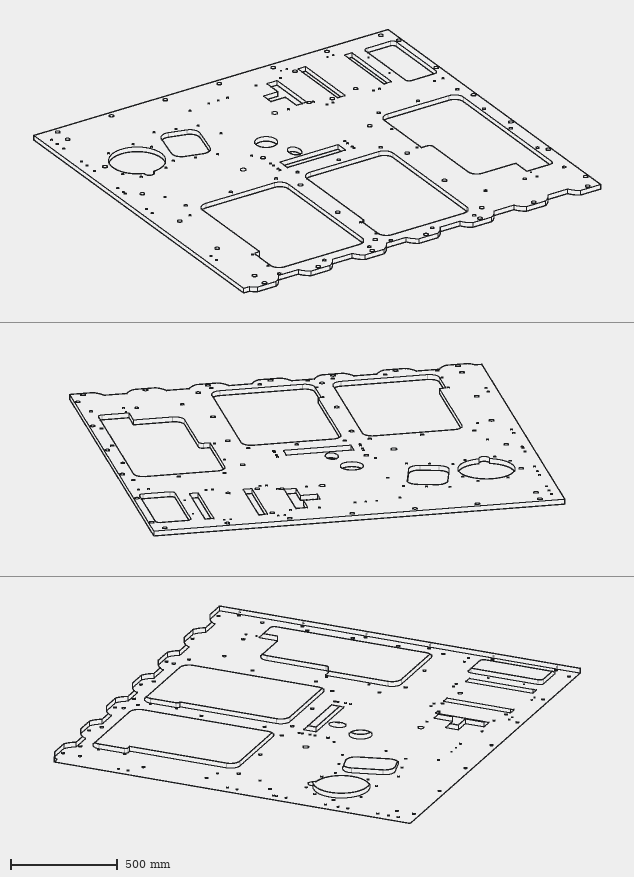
import cadquery as cq
import math

SHEET_WIDTH = 1849.0
SHEET_HEIGHT = 1973.0
THICKNESS = 25.0

BOLT_DIAMETER = 14.0
HEAD_DIAMETER = 22.0
HEAD_DEPTH = 12.0
EDGE_BOLT_PITCH = 300.0
EDGE_BOLT_COUNT = 7
EDGE_BOLT_FIRST_Y = 113.0
EDGE_BOLT_LEFT_X = 31.0
EDGE_BOLT_RIGHT_X = 1829.0
RAIL_BOLT_PITCH = 325.0
RAIL_BOLT_COUNT = 6
RAIL_BOLT_FIRST_X = 118.0
FULL_RAILS_Y = (EDGE_BOLT_FIRST_Y, 1379.0, 1957.0)
SHORT_RAIL_Y = 785.0
SHORT_RAIL_SKIPPED = 2

NOTCH_DEPTH = 45.0
TAB_RADIUS = 106.0
TAB_CENTER_X = 1757.0
FOOT_RELIEF_WIDTH = 24.0

WINDOW_RADIUS = 48.0
STEP_RADIUS = 20.0
SIDE_STEP_RADIUS = 12.0

TOP_WINDOW_LEFT = 714.0
TOP_WINDOW_RIGHT = 1550.0
TOP_WINDOW_INNER_RIGHT = 1454.0
TOP_WINDOW_STEP_X = 1083.0
TOP_WINDOW_TOP = 1904.0
TOP_WINDOW_LEDGE_Y = 1753.0
TOP_WINDOW_STEP_Y = 1518.0
TOP_WINDOW_BOTTOM = 1466.0

SIDE_WINDOW_LEFT = 1010.0
SIDE_WINDOW_RIGHT = 1745.0
SIDE_WINDOW_STEP_X = 1554.0
SIDE_WINDOW_HEIGHT = 478.0
SIDE_WINDOWS = ((1323.0, 16.0), (741.0, 32.0))

FRAME_HOLE_DIAMETER = 16.0
TOP_FRAME_X = (680.0, 912.0, 1145.0, 1377.0, 1609.0)
TOP_FRAME_Y = (1485.0, 1704.0, 1923.0)
SIDE_FRAME_X = (977.0, 1789.0)
SIDE_FRAME_Y = (1306.0, 1073.0, 843.0, 723.0, 472.0, 221.0)

HATCH_LEFT = 106.0
HATCH_RIGHT = 491.0
HATCH_BOTTOM = 1768.0
HATCH_TOP = 1938.0
HATCH_RADIUS = 20.0

SLOT_RIGHT = 450.0
SLOT_HEIGHT = 42.0
SLOT_CENTERS_Y = (1683.0, 1425.0)

TEE_LEFT = 152.0
TEE_RIGHT = 409.0
TEE_TOP = 1258.0
TEE_SHOULDER_Y = 1201.0
TEE_STEM_WIDTH = 65.0
TEE_BOTTOM = 1120.0

TALL_SLOT_LEFT = 848.0
TALL_SLOT_RIGHT = 912.0
TALL_SLOT_BOTTOM = 828.0
TALL_SLOT_TOP = 1152.0

TILT_CENTER = (450.0, 558.0)
TILT_ANGLE = -15.0
TILT_WIDTH = 250.0
TILT_HEIGHT = 190.0
TILT_RADIUS = 50.0
TILT_HOLE_SPACING_X = 300.0
TILT_HOLE_PITCH_Y = 109.0

PORT_CENTER = (473.0, 273.0)
PORT_DIAMETER = 268.0
RELIEF_CENTER = (608.0, 254.0)
RELIEF_DIAMETER = 50.0
PORT_HOLE_RADIUS = 153.0
PORT_HOLE_ANGLES = (29.0, 121.0, 209.0, 301.0)
PORT_OUTER_HOLE_RADIUS = 165.0
PORT_OUTER_HOLE_ANGLES = (154.0, 334.0)

ROUND_CENTER = (644.0, 882.0)
ROUND_DIAMETER = 108.0
OVAL_CENTER = (791.0, 946.0)
OVAL_LENGTH = 84.0
OVAL_HEIGHT = 60.0

CABLE_DIAMETER = 28.0
CABLE_POINTS = ((420.0, 1073.0), (819.0, 642.0))
SMALL_CABLE_DIAMETER = 20.0
SMALL_CABLE_POINTS = ((418.0, 1525.0), (418.0, 1266.0))

SCREW_DIAMETER = 10.0
PILOT_DIAMETER = 6.0
FOOT_SCREW_X = (
    82.0, 131.0, 187.0, 341.0, 390.0, 455.0, 657.0,
    706.0, 722.0, 908.0, 957.0, 1467.0, 1516.0,
)
FOOT_SCREW_Y = 47.0
BRACKET_SCREW_Y = (1618.0, 1586.0, 1359.0, 1327.0)
SCREW_GROUPS = (
    ((552.0,), (1926.0, 1877.0)),
    ((479.0,), BRACKET_SCREW_Y),
    ((139.0, 422.0), (1286.0, 1148.0)),
    ((852.0, 1070.0), (1448.0, 185.0)),
    ((835.0, 860.0, 900.0, 916.0), (1197.0, 784.0)),
    ((187.0, 455.0, 722.0), (751.0,)),
    ((1560.0, 1694.0), (820.0, 219.0)),
    (FOOT_SCREW_X, (FOOT_SCREW_Y,)),
    ((1621.0,), (1764.0,)),
    ((171.0,), (970.0,)),
)
PILOT_GROUPS = (
    ((187.0, 370.0), (1744.0,)),
    ((78.0,), BRACKET_SCREW_Y),
    ((1568.0,), (1764.0,)),
    ((171.0,), (918.0, 865.0)),
)

CORNER_SEARCH_REACH = 1.0


def grid(xs, ys):
    return [(x, y) for x in xs for y in ys]


def steps(first, pitch, count):
    return [first + pitch * index for index in range(count)]


def round_holes(points, diameter):
    return cq.Workplane("XY").pushPoints(points).circle(diameter / 2).extrude(THICKNESS)


def box_between(left, right, bottom, top):
    block = cq.Workplane("XY").box(right - left, top - bottom, THICKNESS, centered=False)
    return block.translate((left, bottom, 0))


def fillet_corners(body, points, radius):
    """Round the upright edges of a cutter that stand at the given points."""
    reach = CORNER_SEARCH_REACH
    for x, y in points:
        low = (x - reach, y - reach, -reach)
        high = (x + reach, y + reach, THICKNESS + reach)
        body = body.edges(cq.selectors.BoxSelector(low, high)).fillet(radius)
    return body


def tab_disc(center_y):
    return cq.Workplane("XY").center(TAB_CENTER_X, center_y).circle(TAB_RADIUS).extrude(THICKNESS)


def edge_notch(lower_y):
    """Notch between the tabs at two neighbouring edge bolts, flanked by their round shoulders."""
    upper_y = lower_y + EDGE_BOLT_PITCH
    notch = box_between(SHEET_WIDTH - NOTCH_DEPTH, SHEET_WIDTH, lower_y, upper_y)
    return notch.cut(tab_disc(lower_y)).cut(tab_disc(upper_y))


def foot_relief():
    """Shallow corner cut below the lowest tab."""
    relief = box_between(SHEET_WIDTH - FOOT_RELIEF_WIDTH, SHEET_WIDTH, 0, EDGE_BOLT_FIRST_Y)
    return relief.cut(tab_disc(EDGE_BOLT_FIRST_Y))


def top_window():
    corners = [
        (TOP_WINDOW_LEFT, TOP_WINDOW_TOP),
        (TOP_WINDOW_RIGHT, TOP_WINDOW_TOP),
        (TOP_WINDOW_RIGHT, TOP_WINDOW_LEDGE_Y),
        (TOP_WINDOW_INNER_RIGHT, TOP_WINDOW_LEDGE_Y),
        (TOP_WINDOW_INNER_RIGHT, TOP_WINDOW_STEP_Y),
        (TOP_WINDOW_STEP_X, TOP_WINDOW_STEP_Y),
        (TOP_WINDOW_STEP_X, TOP_WINDOW_BOTTOM),
        (TOP_WINDOW_LEFT, TOP_WINDOW_BOTTOM),
    ]
    top_left, top_right, _, _, inner_right, step, _, bottom_left = corners
    window = cq.Workplane("XY").polyline(corners).close().extrude(THICKNESS)
    window = fillet_corners(window, (top_left, bottom_left, inner_right), WINDOW_RADIUS)
    return fillet_corners(window, (top_right, step), STEP_RADIUS)


def side_window(top, step_depth):
    bottom = top - SIDE_WINDOW_HEIGHT
    corners = [
        (SIDE_WINDOW_LEFT, top),
        (SIDE_WINDOW_RIGHT, top),
        (SIDE_WINDOW_RIGHT, bottom - step_depth),
        (SIDE_WINDOW_STEP_X, bottom - step_depth),
        (SIDE_WINDOW_STEP_X, bottom),
        (SIDE_WINDOW_LEFT, bottom),
    ]
    top_left, top_right, low_right, step, _, bottom_left = corners
    window = cq.Workplane("XY").polyline(corners).close().extrude(THICKNESS)
    window = fillet_corners(window, (top_left, top_right, low_right, bottom_left), WINDOW_RADIUS)
    return fillet_corners(window, (step,), SIDE_STEP_RADIUS)


def hatch():
    opening = box_between(HATCH_LEFT, HATCH_RIGHT, HATCH_BOTTOM, HATCH_TOP)
    return opening.edges("|Z").fillet(HATCH_RADIUS)


def long_slot(center_y):
    """Long horizontal slot, flush with the left side of the hatch."""
    half_height = SLOT_HEIGHT / 2
    return box_between(HATCH_LEFT, SLOT_RIGHT, center_y - half_height, center_y + half_height)


def tee_opening():
    middle = (TEE_LEFT + TEE_RIGHT) / 2
    stem_left = middle - TEE_STEM_WIDTH / 2
    stem_right = middle + TEE_STEM_WIDTH / 2
    bar = box_between(TEE_LEFT, TEE_RIGHT, TEE_SHOULDER_Y, TEE_TOP)
    return bar.union(box_between(stem_left, stem_right, TEE_BOTTOM, TEE_SHOULDER_Y))


def tilted_opening():
    opening = cq.Workplane("XY").rect(TILT_WIDTH, TILT_HEIGHT).extrude(THICKNESS)
    opening = opening.edges("|Z").fillet(TILT_RADIUS)
    half_spacing = TILT_HOLE_SPACING_X / 2
    points = grid((-half_spacing, half_spacing), (-TILT_HOLE_PITCH_Y, 0, TILT_HOLE_PITCH_Y))
    opening = opening.union(round_holes(points, SCREW_DIAMETER))
    return opening.rotate((0, 0, 0), (0, 0, 1), TILT_ANGLE).translate((*TILT_CENTER, 0))


def polar_points(center, radius, angles):
    return [
        (
            center[0] + radius * math.cos(math.radians(angle)),
            center[1] + radius * math.sin(math.radians(angle)),
        )
        for angle in angles
    ]


def port_opening():
    opening = round_holes([PORT_CENTER], PORT_DIAMETER)
    opening = opening.union(round_holes([RELIEF_CENTER], RELIEF_DIAMETER))
    points = polar_points(PORT_CENTER, PORT_HOLE_RADIUS, PORT_HOLE_ANGLES)
    points += polar_points(PORT_CENTER, PORT_OUTER_HOLE_RADIUS, PORT_OUTER_HOLE_ANGLES)
    return opening.union(round_holes(points, SCREW_DIAMETER))


def oval_opening():
    outline = cq.Workplane("XY").center(*OVAL_CENTER).ellipse(OVAL_LENGTH / 2, OVAL_HEIGHT / 2)
    return outline.extrude(THICKNESS)


def edge_bolt_rows():
    return steps(EDGE_BOLT_FIRST_Y, EDGE_BOLT_PITCH, EDGE_BOLT_COUNT)


def bolt_points():
    rail_x = steps(RAIL_BOLT_FIRST_X, RAIL_BOLT_PITCH, RAIL_BOLT_COUNT)
    points = grid((EDGE_BOLT_LEFT_X, EDGE_BOLT_RIGHT_X), edge_bolt_rows())
    points += grid(rail_x, FULL_RAILS_Y)
    return points + grid(rail_x[SHORT_RAIL_SKIPPED:], (SHORT_RAIL_Y,))


def stepped_holes(points):
    """Through holes with a counterbore from the top face."""
    head = round_holes(points, HEAD_DIAMETER).translate((0, 0, THICKNESS - HEAD_DEPTH))
    return round_holes(points, BOLT_DIAMETER).union(head)


def frame_points():
    left_and_right = grid((TOP_FRAME_X[0], TOP_FRAME_X[-1]), TOP_FRAME_Y)
    between_on_top = grid(TOP_FRAME_X[1:-1], TOP_FRAME_Y[-1:])
    return left_and_right + between_on_top + grid(SIDE_FRAME_X, SIDE_FRAME_Y)


def group_points(groups):
    return [point for xs, ys in groups for point in grid(xs, ys)]


cutters = [
    foot_relief(),
    top_window(),
    hatch(),
    tee_opening(),
    box_between(TALL_SLOT_LEFT, TALL_SLOT_RIGHT, TALL_SLOT_BOTTOM, TALL_SLOT_TOP),
    tilted_opening(),
    port_opening(),
    oval_opening(),
    round_holes([ROUND_CENTER], ROUND_DIAMETER),
    round_holes(CABLE_POINTS, CABLE_DIAMETER),
    round_holes(SMALL_CABLE_POINTS, SMALL_CABLE_DIAMETER),
    stepped_holes(bolt_points()),
    round_holes(frame_points(), FRAME_HOLE_DIAMETER),
    round_holes(group_points(SCREW_GROUPS), SCREW_DIAMETER),
    round_holes(group_points(PILOT_GROUPS), PILOT_DIAMETER),
]
for tab_y in edge_bolt_rows()[:-1]:
    cutters.append(edge_notch(tab_y))
for window_top, window_step in SIDE_WINDOWS:
    cutters.append(side_window(window_top, window_step))
for slot_y in SLOT_CENTERS_Y:
    cutters.append(long_slot(slot_y))

result = box_between(0, SHEET_WIDTH, 0, SHEET_HEIGHT)
for cutter in cutters:
    result = result.cut(cutter)